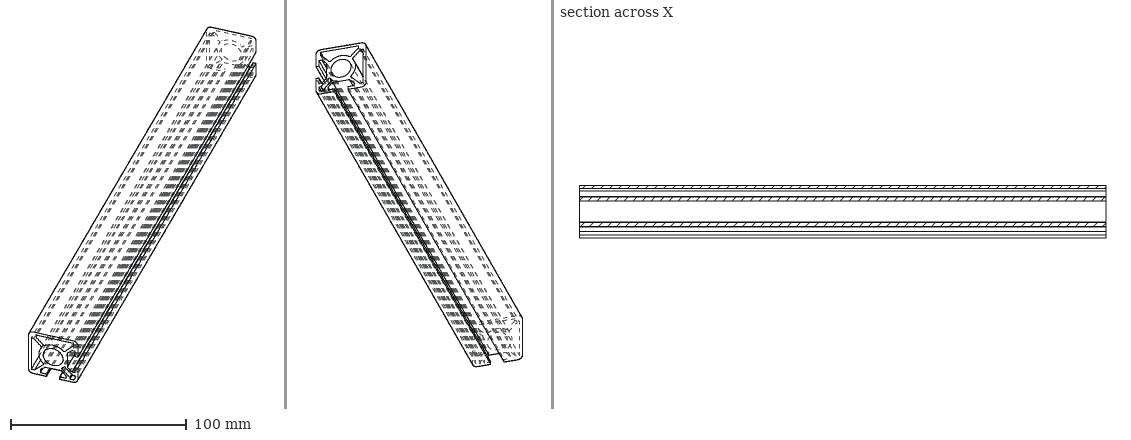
import cadquery as cq

side = 30.0
length = 300.0
corner_radius = 3.0
half = side / 2

wall = 1.8
inner_face = half - wall
bore_radius = 6.0
tube_radius = 8.6
web_root_radius = 0.5

slot_opening = 8.0
slot_inner_width = 15.5
slot_floor = tube_radius
slot_floor_width = 10.0

plain_web_offset = 1.4
slot_web_offset = 1.05
pocket_offset = 1.8

chamber_plain_end = 10.4
chamber_slot_end = 12.2
pocket_start = 4.0
pocket_shoulder = 10.1
pocket_corner_radius = 1.5


def mirrored(points):
    """Reflect section points about the diagonal x = -z."""
    return [(-z, -x) for x, z in points]


def prism(points):
    """Extrude a closed XZ outline over the full length."""
    return cq.Workplane("XZ").polyline(points).close().extrude(-length)


def cylinder(radius):
    """Full-length cylinder on the section's centre."""
    return cq.Workplane("XZ").circle(radius).extrude(-length)


def slot_points():
    """T-slot in the +X face, with sides that flare at 45 degrees from its floor."""
    flare_end = slot_floor + (slot_inner_width - slot_floor_width) / 2
    upper = [
        (slot_floor, slot_floor_width / 2),
        (flare_end, slot_inner_width / 2),
        (inner_face, slot_inner_width / 2),
        (inner_face, slot_opening / 2),
        (half, slot_opening / 2),
    ]
    lower = [(x, -z) for x, z in reversed(upper)]
    return upper + lower


def chamber_points():
    """Chamber under the +Z wall; its two webs meet inside the tube."""
    apex_x = (plain_web_offset + slot_web_offset) / 2
    return [
        (apex_x, plain_web_offset - apex_x),
        (chamber_slot_end, chamber_slot_end - slot_web_offset),
        (chamber_slot_end, inner_face),
        (-chamber_plain_end, inner_face),
        (-chamber_plain_end, chamber_plain_end + plain_web_offset),
    ]


def chamber(outline):
    """Chamber cutter, stopped at the tube and rounded where the webs meet it."""
    cutter = prism(outline).cut(cylinder(tube_radius))
    around_tube = cq.selectors.BoxSelector(
        (-tube_radius, 0, -tube_radius), (tube_radius, length, tube_radius)
    )
    return cutter.edges("|Y").edges(around_tube).fillet(web_root_radius)


def corner_pocket():
    """Cutter for the pocket between the two slots, rounded in the outer corner."""
    right_side = [
        (pocket_start, pocket_offset - pocket_start),
        (pocket_shoulder + pocket_offset, -pocket_shoulder),
        (inner_face, -pocket_shoulder),
    ]
    outline = right_side + [(inner_face, -inner_face)] + mirrored(right_side)[::-1]
    cutter = prism(outline).cut(cylinder(tube_radius))
    outer_corner = cq.selectors.NearestToPointSelector((inner_face, length / 2, -inner_face))
    return cutter.edges("|Y").edges(outer_corner).fillet(pocket_corner_radius)


def build_profile():
    """Rounded square bar with its chambers, pocket, slots and bore removed."""
    body = cq.Workplane("XZ").rect(side, side).extrude(-length)
    body = body.edges("|Y").fillet(corner_radius)
    for outline in (chamber_points(), mirrored(chamber_points())):
        body = body.cut(chamber(outline))
    body = body.cut(corner_pocket())
    for outline in (slot_points(), mirrored(slot_points())):
        body = body.cut(prism(outline))
    return body.cut(cylinder(bore_radius))


result = build_profile()